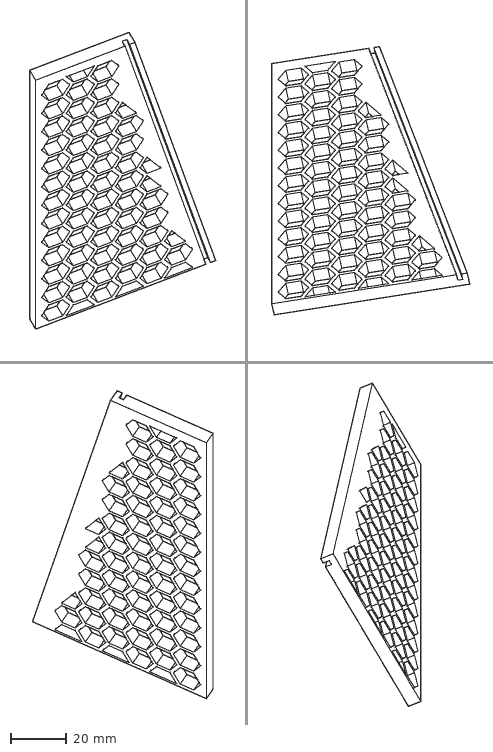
import cadquery as cq
import math

thickness = 5.0
height = 152.6
bottom_width = 72.5
top_width = 40.0

web = 1.5
first_column_y = 8.1
last_column_y = 57.5
bottom_border = 1.15
top_border = 5.0

column_cells = [(13, 0), (12, 0), (13, 0), (9, 1), (5, 2), (1, 1)]
topped_column = 1
column_pitch = (last_column_y - first_column_y) / (len(column_cells) - 1)

row_count = 13
row_pitch = (height - bottom_border - top_border) / row_count
cell_flats = row_pitch - web
cell_radius = cell_flats / math.sqrt(3)

groove_depth = 2.5
groove_width = 1.8
groove_offset = 2.1

UPPER_HALF = 0
LOWER_HALF = 3
SLANT_HALF = 2


def prism(points, x_start, length):
    """Extrude a (y, z) outline along +X."""
    return cq.Workplane("YZ", origin=(x_start, 0, 0)).polyline(points).close().extrude(length)


def cell(y, z, first_corner=0, corner_count=6):
    """Through cutter for a hexagon, or for half of one when it has four corners."""
    angles = [math.radians(60 * (first_corner + i)) for i in range(corner_count)]
    corners = [(y + cell_radius * math.cos(a), z + cell_radius * math.sin(a)) for a in angles]
    return prism(corners, 0, thickness)


def half_cell(y, z, first_corner):
    return cell(y, z, first_corner, corner_count=4)


def column_cutters(column):
    """All cutters of one column; odd columns sit half a row lower and start with a half cell."""
    whole_count, slant_count = column_cells[column]
    y = first_column_y + column * column_pitch
    z = bottom_border + row_pitch / 2
    cutters = []
    if column % 2 == 1:
        cutters.append(half_cell(y, bottom_border, UPPER_HALF))
        z = bottom_border + row_pitch
    for _ in range(whole_count):
        cutters.append(cell(y, z))
        z += row_pitch
    for _ in range(slant_count):
        cutters.append(half_cell(y, z, SLANT_HALF))
        z += row_pitch
    if column == topped_column:
        cutters.append(half_cell(y, z, LOWER_HALF))
    return cutters


def groove_cutter():
    outer_bottom = bottom_width - groove_offset
    outer_top = top_width - groove_offset
    outline = [
        (outer_bottom, 0),
        (outer_top, height),
        (outer_top - groove_width, height),
        (outer_bottom - groove_width, 0),
    ]
    return prism(outline, thickness - groove_depth, groove_depth)


plate = prism([(0, 0), (bottom_width, 0), (top_width, height), (0, height)], 0, thickness)
for column in range(len(column_cells)):
    for cutter in column_cutters(column):
        plate = plate.cut(cutter)

result = plate.cut(groove_cutter())